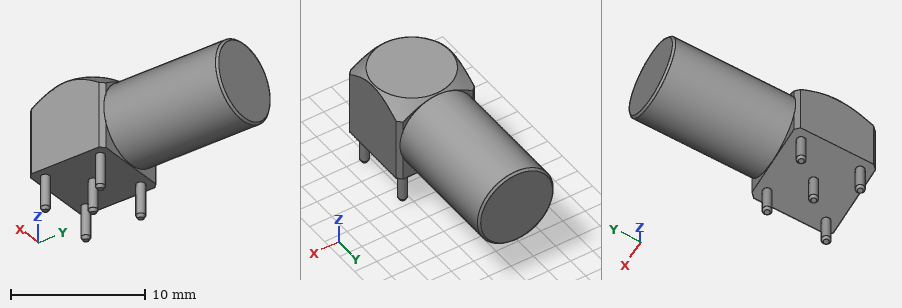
import cadquery as cq

overall_length = 17.5
body_size = 7.0
corner_chamfer = 0.37
top_flat_diameter = 6.8

barrel_diameter = 6.8
barrel_chamfer = 0.18

pin_diameter = 0.75
pin_spacing = 5.08
outer_pin_length = 3.0
centre_pin_length = 2.84
pin_tip_height = 0.26
pin_tip_inset = 0.15

half_body = body_size / 2
barrel_length = overall_length - body_size


def make_body():
    """Cube with cut vertical corners and a 45 degree cone turned on its top."""
    cube = cq.Workplane("XY").box(body_size, body_size, body_size, centered=(True, True, False))
    cube = cube.edges("|Z").chamfer(corner_chamfer)
    top_radius = top_flat_diameter / 2
    cone_envelope = (
        cq.Workplane("XZ")
        .moveTo(0, 0)
        .lineTo(top_radius + body_size, 0)
        .lineTo(top_radius, body_size)
        .lineTo(0, body_size)
        .close()
        .revolve(360, (0, 0, 0), (0, 1, 0))
    )
    return cube.intersect(cone_envelope)


def make_barrel():
    """Round barrel along +Y, standing flat on the rear face of the body."""
    return (
        cq.Workplane("XZ", origin=(0, half_body, half_body))
        .circle(barrel_diameter / 2)
        .extrude(-barrel_length)
        .faces(">Y")
        .chamfer(barrel_chamfer)
    )


def make_pin(x, y, length):
    """Round pin below the body with a tapered tip."""
    return (
        cq.Workplane("XY", origin=(x, y, 0))
        .circle(pin_diameter / 2)
        .extrude(-length)
        .faces("<Z")
        .edges()
        .chamfer(pin_tip_height, pin_tip_inset)
    )


result = make_body().union(make_barrel())
result = result.union(make_pin(0, 0, centre_pin_length))
for x_side in (-1, 1):
    for y_side in (-1, 1):
        pin_x = x_side * pin_spacing / 2
        pin_y = y_side * pin_spacing / 2
        result = result.union(make_pin(pin_x, pin_y, outer_pin_length))